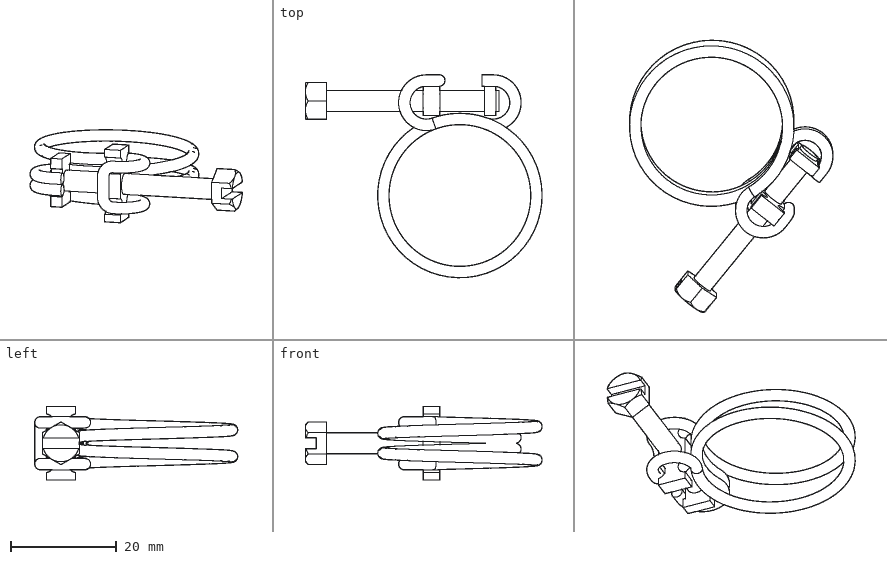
import cadquery as cq
import math

wire_radius = 1.1
ring_radius = 14.5
hook_radius = 4.195
hook_x = 6.33
loop_z = 3.95
coil_hook_z = wire_radius
coil_hook_end_x = 4.17
bridge_x = -3.9
elbow_radius = 1.9
hook_y = math.sqrt((ring_radius + hook_radius) ** 2 - hook_x ** 2)
hook_top_y = hook_y + hook_radius
tangent_angle = math.degrees(math.atan2(hook_y, hook_x))

overall_length = 44.85
screw_y = 17.9
shank_diameter = 4.0
screw_tip_x = 7.45
head_x = ring_radius + wire_radius - overall_length
head_length = 4.05
head_across_flats = 7.0
slot_width = 2.0
slot_depth = 2.05

plate_half_width = hook_top_y - wire_radius - screw_y
notch_half_height = 1.55
front_notch_depth = 1.45
rear_notch_depth = 0.45
front_plate_x = -6.95
front_plate_thickness = 3.15
front_plate_height = 14.0
rear_plate_x = 4.6
rear_plate_thickness = 2.2
rear_plate_height = 9.35


def make_hook(side, z):
    """Bent wire from the ring tangent point round to the far Y side; side is -1 or +1 in X."""
    bend_angle = 270 - tangent_angle
    return (
        cq.Workplane("YZ", origin=(side * hook_x, hook_top_y, z))
        .circle(wire_radius)
        .revolve(bend_angle, (-hook_radius, 0, 0), (-hook_radius, -side, 0))
    )


def make_coil():
    """Upper coil: a straight end, its hook and just over one rising turn."""
    straight_end = (
        cq.Workplane("YZ", origin=(coil_hook_end_x, hook_top_y, coil_hook_z))
        .circle(wire_radius)
        .extrude(hook_x - coil_hook_end_x)
    )
    turns = 1 + (180 - 2 * tangent_angle) / 360
    rise = loop_z - coil_hook_z
    helix = cq.Wire.makeHelix(rise / turns, rise, ring_radius)
    ring = (
        cq.Workplane("XZ", origin=(ring_radius, 0, 0))
        .circle(wire_radius)
        .sweep(cq.Workplane(helix), isFrenet=True)
        .rotate((0, 0, 0), (0, 0, 1), tangent_angle)
        .translate((0, 0, coil_hook_z))
    )
    return ring.union(make_hook(1, coil_hook_z)).union(straight_end)


def make_loop():
    """Two hooks joined by a bridge that turns down, crosses in Z and turns back."""
    corner_x = bridge_x - elbow_radius
    corner_z = loop_z - elbow_radius
    elbow_middle = elbow_radius * math.sin(math.radians(45))
    mid_x = corner_x + elbow_middle
    mid_z = corner_z + elbow_middle
    path = (
        cq.Workplane("XZ", origin=(0, hook_top_y, 0))
        .moveTo(-hook_x, loop_z)
        .lineTo(corner_x, loop_z)
        .threePointArc((mid_x, mid_z), (bridge_x, corner_z))
        .lineTo(bridge_x, -corner_z)
        .threePointArc((mid_x, -mid_z), (corner_x, -loop_z))
        .lineTo(-hook_x, -loop_z)
    )
    bridge = cq.Workplane("YZ", origin=(-hook_x, hook_top_y, loop_z)).circle(wire_radius).sweep(path)
    return bridge.union(make_hook(-1, loop_z)).union(make_hook(-1, -loop_z))


def make_plate(x, thickness, height):
    """Upright rectangular plate with a clear hole for the screw shank."""
    return (
        cq.Workplane("YZ", origin=(x, screw_y, 0))
        .rect(2 * plate_half_width, height)
        .circle(shank_diameter / 2)
        .extrude(thickness)
    )


def make_front_plate():
    """Plate with a round-bottomed notch on each side for each loop hook."""
    notch_y = plate_half_width - front_notch_depth + notch_half_height
    notches = (
        cq.Workplane("YZ", origin=(front_plate_x, screw_y, 0))
        .rect(2 * notch_y, 2 * loop_z, forConstruction=True)
        .vertices()
        .circle(notch_half_height)
        .extrude(front_plate_thickness)
    )
    return make_plate(front_plate_x, front_plate_thickness, front_plate_height).cut(notches)


def make_rear_plate():
    """Plate with one shallow notch on each side, tall enough for both coil hooks."""
    notches = (
        cq.Workplane("YZ", origin=(rear_plate_x, screw_y, 0))
        .pushPoints([(-plate_half_width, 0), (plate_half_width, 0)])
        .rect(2 * rear_notch_depth, 2 * (coil_hook_z + notch_half_height))
        .extrude(rear_plate_thickness)
    )
    return make_plate(rear_plate_x, rear_plate_thickness, rear_plate_height).cut(notches)


def make_screw():
    """Slotted hexagon head with a chamfered face, corners up and down, on a plain shank."""
    across_corners = head_across_flats / math.cos(math.radians(30))
    head = (
        cq.Workplane("YZ", origin=(head_x, screw_y, 0))
        .polygon(6, across_corners)
        .extrude(head_length)
        .rotate((0, screw_y, 0), (1, screw_y, 0), 90)
    )
    chamfer_cone = (
        cq.Workplane("YZ", origin=(head_x, screw_y, 0))
        .circle(head_across_flats / 2)
        .extrude(head_length, taper=-45)
    )
    slot = (
        cq.Workplane("YZ", origin=(head_x, screw_y, 0))
        .rect(across_corners, slot_width)
        .extrude(slot_depth)
    )
    shank_x = head_x + head_length
    shank = (
        cq.Workplane("YZ", origin=(shank_x, screw_y, 0))
        .circle(shank_diameter / 2)
        .extrude(screw_tip_x - shank_x)
    )
    return head.intersect(chamfer_cone).cut(slot).union(shank)


upper_coil = make_coil()
lower_coil = upper_coil.mirror("XY")
loop = make_loop()
screw = make_screw()
front_plate = make_front_plate()
rear_plate = make_rear_plate()

result = cq.Compound.makeCompound(
    [
        upper_coil.val(),
        lower_coil.val(),
        loop.val(),
        screw.val(),
        front_plate.val(),
        rear_plate.val(),
    ]
)